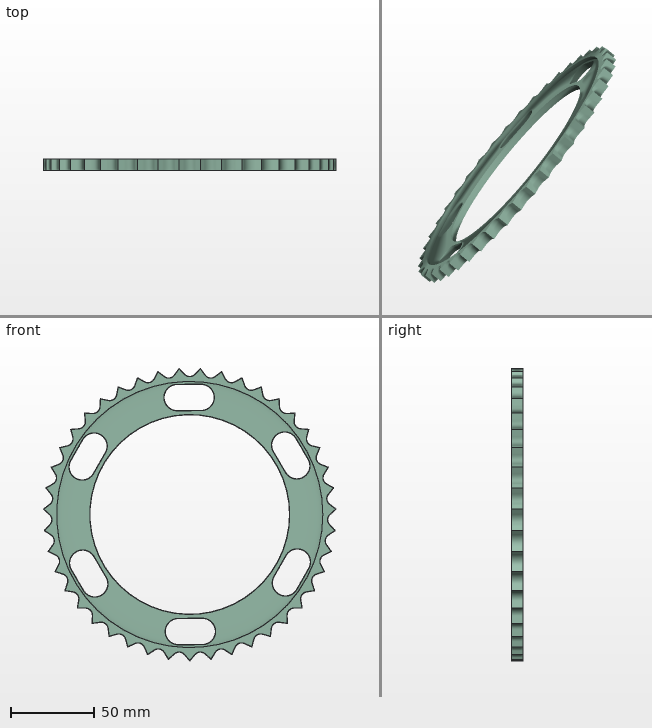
import cadquery as cq
import math

thickness = 7.0
bore_radius = 60.0
recess_radius = 80.0
front_recess_depth = 0.62
back_recess_depth = 2.5

tooth_count = 43
gap_center_radius = 87.2
gap_radius = 4.2
tooth_pitch_angle = 2 * math.pi / tooth_count
outer_width = 175.9
tip_radius = outer_width / 2 / math.cos(tooth_pitch_angle / 4)

slot_count = 6
slot_center_radius = 70.4
slot_length = 30.0
slot_width = 15.7
slot_turn_angle = 0.3


def rotate_point(point, angle):
    """Turn a point about the ring axis, counterclockwise for positive angles."""
    x, z = point
    return (
        x * math.cos(angle) - z * math.sin(angle),
        x * math.sin(angle) + z * math.cos(angle),
    )


def tooth_gap_points():
    """Points of the top gap, right to left: flank end, root, flank end, left tip."""
    tip_x = tip_radius * math.sin(tooth_pitch_angle / 2)
    tip_z = tip_radius * math.cos(tooth_pitch_angle / 2)
    tip_rise = tip_z - gap_center_radius
    tip_direction = math.atan2(tip_rise, tip_x)
    tangent_direction = tip_direction - math.acos(gap_radius / math.hypot(tip_x, tip_rise))
    flank_x = gap_radius * math.cos(tangent_direction)
    flank_z = gap_center_radius + gap_radius * math.sin(tangent_direction)
    root = (0, gap_center_radius - gap_radius)
    return (flank_x, flank_z), root, (-flank_x, flank_z), (-tip_x, tip_z)


def toothed_disc():
    gap_points = tooth_gap_points()
    first_tip = rotate_point((0, tip_radius), -tooth_pitch_angle / 2)
    outline = cq.Workplane("XZ").moveTo(*first_tip)
    for tooth in range(tooth_count):
        angle = tooth * tooth_pitch_angle
        right_end, root, left_end, left_tip = [rotate_point(p, angle) for p in gap_points]
        outline = outline.lineTo(*right_end).threePointArc(root, left_end)
        if tooth < tooth_count - 1:
            outline = outline.lineTo(*left_tip)
    return outline.close().extrude(thickness / 2, both=True)


def slots():
    return (
        cq.Workplane("XZ")
        .polarArray(slot_center_radius, 90 + slot_turn_angle, 360, slot_count)
        .slot2D(slot_length, slot_width, angle=90)
        .extrude(thickness, both=True)
    )


def bore():
    return cq.Workplane("XZ").circle(bore_radius).extrude(thickness, both=True)


def recess(floor_y, toward_y):
    """Round recess inside the teeth, open from its floor toward the given side (-1 or +1)."""
    workplane = cq.Workplane("XZ", origin=(0, floor_y, 0))
    return workplane.circle(recess_radius).extrude(-toward_y * thickness)


front_recess = recess(front_recess_depth - thickness / 2, -1)
back_recess = recess(thickness / 2 - back_recess_depth, 1)

result = toothed_disc().cut(front_recess).cut(back_recess).cut(bore()).cut(slots())